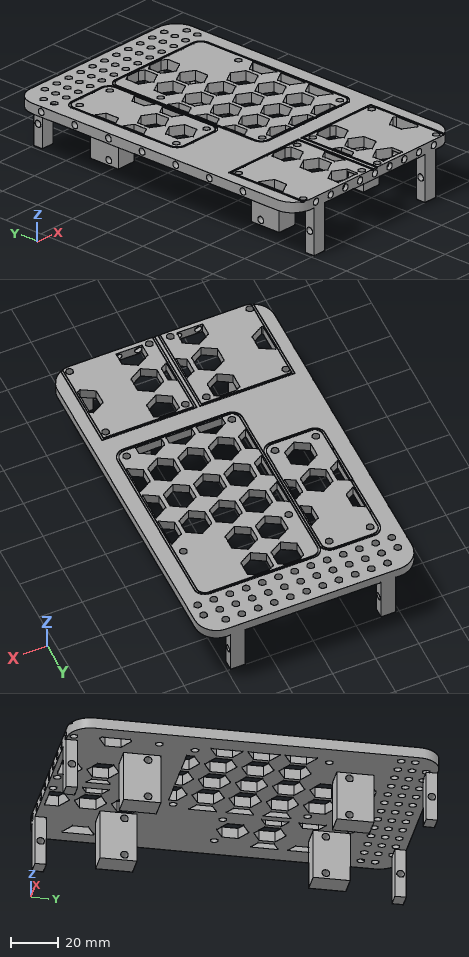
import cadquery as cq
import math

plate_x = 101.0
plate_y = 160.0
plate_t = 5.0
total_z = 27.5
corner_r = 10.0
leg_h = total_z - plate_t
front_y = -plate_y / 2
left_x = -plate_x / 2

hole_d = 3.2

groove_w = 1.0
groove_depth = 0.5
panel_r = 4.8
window_margin = 1.6

divider_x = -14.5
divider_w = 0.2
small_panel = (-42.7, divider_x - divider_w, -6.2, 58.7)
large_panel = (divider_x, 43.5, -28.8, 59.2)

bay_inner_x = 0.8
bay_outer_x = 44.8
bay_back_y = -37.0
bay_front_y = front_y - groove_w
bay_front_margin = 2.0
left_bay = (-bay_outer_x, -bay_inner_x, bay_front_y, bay_back_y)
right_bay = (bay_inner_x, bay_outer_x, bay_front_y, bay_back_y)

hex_flats = 12.0
hex_pitch_x = 14.0
hex_pitch_y = 16.0
hex_origin = (-0.5, 4.6)
small_cells = [(-3, 1), (-3, 2), (-2, 0), (-2, 1), (-1, 1), (-1, 2)]
large_cells = [(col, row) for col in (0, 1) for row in (2, 3)]
large_cells += [(col, row) for col in range(-1, 4) for row in (-1, 0, 1)]
large_cells += [(col, -2) for col in (0, 1, 2)]
left_bay_cells = [(-3, -4), (-1, -3), (-1, -4), (-1, -5), (0, -4)]
right_bay_cells = [(0, -4), (1, -3), (1, -4), (1, -5), (3, -4)]

small_screws = ((-38.4, -19.4), (-1.5, 53.8))
large_screws = ((-10.0, 39.0), (-24.6, 33.3))
bay_screw_y = (-77.3, -40.5)
left_bay_screws = ((-42.2, -5.3), bay_screw_y)
right_bay_screws = ((4.5, 41.6), bay_screw_y)

field_cols = 13
field_pitch_x = 7.5
field_pitch_y = 6.0
field_center_x = 0.8
field_back_y = 75.0

edge_hole_depth = 8.0
front_hole_count = 9
front_hole_pitch = 9.3
side_hole_count = 7
side_hole_pitch = 19.2
side_hole_center_y = 7.2

leg_outer_x = 38.4
leg_inner_x = 31.5
leg_y = 5.0
leg_hole_z = 11.0
block_x = 10.0
block_y = 16.0
block_center_y = 46.0
block_hole_y = 43.4
block_hole_z = (2.5, 20.0)


def box(x_min, x_max, y_min, y_max, z_min, z_max):
    size = (x_max - x_min, y_max - y_min, z_max - z_min)
    return cq.Workplane("XY").box(*size, centered=False).translate((x_min, y_min, z_min))


def grow(bounds, distance):
    x_min, x_max, y_min, y_max = bounds
    return (x_min - distance, x_max + distance, y_min - distance, y_max + distance)


def spaced(center, pitch, count):
    return [center + (i - (count - 1) / 2) * pitch for i in range(count)]


def vertical_holes(points):
    cutter = cq.Workplane("XY").workplane(offset=leg_h).pushPoints(points)
    return cutter.circle(hole_d / 2).extrude(plate_t)


def frame_groove(bounds, radius):
    outer = box(*bounds, total_z - groove_depth, total_z)
    inner = box(*grow(bounds, -groove_w), total_z - groove_depth, total_z)
    if radius > 0:
        outer = outer.edges("|Z").fillet(radius)
        inner = inner.edges("|Z").fillet(radius - groove_w)
    return outer.cut(inner)


def windows(cells, clip_bounds):
    """Pointed-up hexagons through the plate, trimmed to a rectangle."""
    points = [(hex_origin[0] + c * hex_pitch_x, hex_origin[1] + r * hex_pitch_y) for c, r in cells]
    across_points = hex_flats / math.cos(math.pi / 6)
    hexagon = (
        cq.Workplane("XY").polygon(6, across_points).extrude(plate_t)
        .rotate((0, 0, 0), (0, 0, 1), 30).val()
    )
    cutter = cq.Workplane("XY").pushPoints(points).eachpoint(lambda at: hexagon.moved(at))
    return cutter.translate((0, 0, leg_h)).intersect(box(*clip_bounds, leg_h, total_z))


def rounded_panel(plate, bounds, cells):
    plate = plate.cut(frame_groove(bounds, panel_r))
    return plate.cut(windows(cells, grow(bounds, -window_margin)))


def front_bay(plate, bounds, cells):
    x_min, x_max, _, y_max = grow(bounds, -window_margin)
    plate = plate.cut(frame_groove(bounds, 0))
    return plate.cut(windows(cells, (x_min, x_max, front_y + bay_front_margin, y_max)))


def field_points():
    """Three rows of holes; the back row leaves out its two end holes."""
    columns = spaced(field_center_x, field_pitch_x, field_cols)
    points = [(x, field_back_y) for x in columns[1:-1]]
    return points + [(x, field_back_y - row * field_pitch_y) for row in (1, 2) for x in columns]


def edge_holes(plate):
    mid_z = leg_h + plate_t / 2
    front_points = [(x, mid_z) for x in spaced(0, front_hole_pitch, front_hole_count)]
    side_points = [(y, mid_z) for y in spaced(side_hole_center_y, side_hole_pitch, side_hole_count)]
    front = cq.Workplane("XZ", origin=(0, front_y, 0)).pushPoints(front_points)
    side = cq.Workplane("YZ", origin=(left_x, 0, 0)).pushPoints(side_points)
    plate = plate.cut(front.circle(hole_d / 2).extrude(-edge_hole_depth))
    return plate.cut(side.circle(hole_d / 2).extrude(edge_hole_depth))


def supports():
    """One leg and one block, cross-drilled along X and mirrored to all four quarters."""
    leg = box(leg_inner_x, leg_outer_x, plate_y / 2 - leg_y, plate_y / 2, 0, leg_h)
    block_y_min = block_center_y - block_y / 2
    block = box(leg_inner_x - block_x, leg_inner_x, block_y_min, block_y_min + block_y, 0, leg_h)
    hole_points = [(block_hole_y, z) for z in block_hole_z]
    hole_points.append((plate_y / 2 - leg_y / 2, leg_hole_z))
    holes = cq.Workplane("YZ").pushPoints(hole_points).circle(hole_d / 2).extrude(plate_x / 2)
    quarter = leg.union(block).cut(holes)
    half = quarter.union(quarter.mirror("YZ"))
    return half.union(half.mirror("XZ"))


plate = cq.Workplane("XY").box(plate_x, plate_y, plate_t, centered=(True, True, False))
plate = plate.edges("|Z").fillet(corner_r).translate((0, 0, leg_h))

plate = rounded_panel(plate, small_panel, small_cells)
plate = rounded_panel(plate, large_panel, large_cells)
plate = front_bay(plate, left_bay, left_bay_cells)
plate = front_bay(plate, right_bay, right_bay_cells)

screw_points = [
    (x, y)
    for xs, ys in (small_screws, large_screws, left_bay_screws, right_bay_screws)
    for x in xs
    for y in ys
]
plate = plate.cut(vertical_holes(screw_points + field_points()))
plate = edge_holes(plate)

result = plate.union(supports())